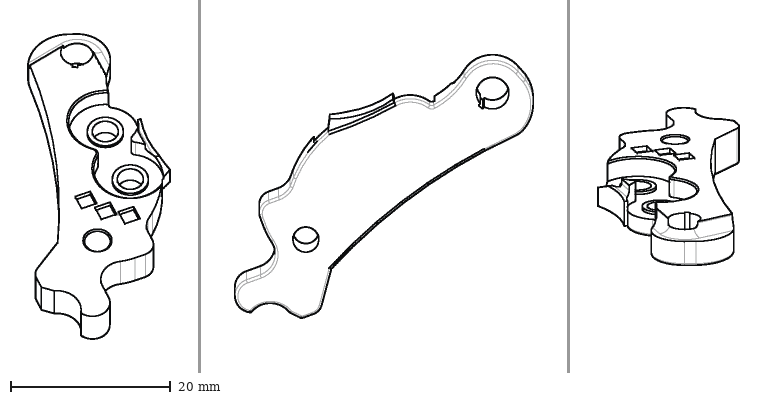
import cadquery as cq
import math

thickness = 4.85
bottom_round = 0.35
clearance = 0.45

toe_round = 1.67
cusp_round = 0.45

eye_x, eye_y = 4.6, 18.9
eye_radius = 4.2
eye_bore_radius = 2.03
key_width = 0.65
key_reach = 2.35
key_angle = -30.0

ledge_z = 3.25
cove_radius = 1.45
cove_wall_radius = 1.9
ledge_width = 6.15
ledge_run_upper = 6.6
ledge_run_lower = 8.8
ledge_tilt = 13.5

boss_centers = [(15.95, 17.85), (24.15, 17.7)]
floor_z = 2.3
lobe_radius = 4.2
pocket_radius = 4.6
pocket_cusp_round = 0.9
pocket_chamfer = 0.2
boss_diameter = 4.55
boss_height = 0.35
boss_bore_diameter = 3.25
boss_bore_floor = 0.35

island_left = 16.55
island_tip_round = 0.57
island_low_z = 3.6
island_step_y = 20.9
island_cove_radius = 0.57
ramp_x = 22.8
ramp_end_x = 25.63
ramp_end_z = 2.5

screw_x, screw_y = 33.02, 9.4
screw_diameter = 3.2
screw_rim_diameter = 3.6
square_side = 2.05
square_depth = 0.65
square_centers = [(26.55, 10.6), (29.1, 12.2), (30.9, 14.6)]


def on_circle(center, radius, degrees):
    """Point on a circle at an angle measured from +X."""
    angle = math.radians(degrees)
    return (center[0] + radius * math.cos(angle), center[1] + radius * math.sin(angle))


def cylinder(center, radius, z_low, z_high):
    return cq.Workplane("XY", origin=(*center, z_low)).circle(radius).extrude(z_high - z_low)


def box(x_low, x_high, y_low, y_high, z_low, z_high):
    size = (x_high - x_low, y_high - y_low, z_high - z_low)
    return cq.Workplane("XY", origin=(x_low, y_low, z_low)).box(*size, centered=False)


def plate():
    """Whole outline, with the underside edge rounded."""
    eye = (eye_x, eye_y)
    hollow = (40.0, 9.95)
    hollow_radius = 2.85
    left_boss = boss_centers[0]
    outline = (
        cq.Workplane("XY")
        .moveTo(0.18, 19.05)
        .lineTo(*on_circle(eye, eye_radius, 159))
        .threePointArc(on_circle(eye, eye_radius, 100), on_circle(eye, eye_radius, 51))
        .tangentArcPoint((12.37, 19.95), relative=False)
        .threePointArc(on_circle(left_boss, lobe_radius, 120), on_circle(left_boss, lobe_radius, 82))
        .threePointArc((20.7, 21.5), (25.6, 21.4))
        .threePointArc((28.9, 19.75), (31.7, 17.4))
        .lineTo(32.5, 16.45)
        .threePointArc((33.3, 15.95), (34.35, 15.7))
        .lineTo(35.65, 15.7)
        .tangentArcPoint((37.43, 13.95), relative=False)
        .lineTo(37.43, 12.55)
        .tangentArcPoint(on_circle(hollow, hollow_radius, 165), relative=False)
        .threePointArc(on_circle(hollow, hollow_radius, 220), on_circle(hollow, hollow_radius, 270))
        .lineTo(41.85, hollow[1] - hollow_radius)
        .tangentArcPoint((42.75, 2.9), relative=False)
        .threePointArc((40.3, 3.25), (38.2, 1.25))
        .lineTo(37.07, 0)
        .lineTo(34.6, 0)
        .lineTo(31.35, 4.65)
        .threePointArc((18.25, 10.0), (3.9, 12.7))
        .threePointArc((3.15, 12.835), (2.38, 13.2))
        .tangentArcPoint((0.18, 19.05), relative=False)
        .close()
        .extrude(thickness)
    )
    toe = cq.selectors.NearestToPointSelector((34.6, 0, thickness / 2))
    outline = outline.edges("|Z").edges(toe).fillet(toe_round)
    cusp = cq.selectors.NearestToPointSelector((12.37, 19.95, thickness / 2))
    outline = outline.edges("|Z").edges(cusp).fillet(cusp_round)
    return outline.faces("<Z").edges().fillet(bottom_round)


def island_lip():
    """Curved edge of the island that overhangs the back of the plate."""
    return (
        cq.Workplane("XY", origin=(0, 0, bottom_round))
        .moveTo(island_left, 21.8)
        .lineTo(island_left, 22.4)
        .threePointArc((19.8, 21.93), (24.85, 22.8))
        .lineTo(25.6, 21.4)
        .lineTo(20.7, 20.25)
        .close()
        .extrude(thickness - bottom_round)
    )


def twin_discs(radius, z_low, z_high):
    left, right = (cylinder(c, radius, z_low, z_high) for c in boss_centers)
    return left.union(right)


def island_block():
    """Wedge between the two lobes, rounded at its tip."""
    (left_x, left_y), (right_x, right_y) = boss_centers
    block = box(island_left, right_x + lobe_radius / 2, left_y, 24.2, floor_z, thickness + clearance)
    block = block.cut(twin_discs(lobe_radius, 0, thickness + 2 * clearance))
    block = block.solids(">Y")
    return block.edges("|Z").edges("<Y").fillet(island_tip_round)


def blended_discs(radius, cusp_radius, z_low, z_high):
    """Twin discs whose front cusp is rounded."""
    discs = twin_discs(radius, z_low, z_high)
    return discs.edges("|Z").edges("<Y").fillet(cusp_radius)


def pocket():
    """Twin pocket with a chamfered rim, leaving the island standing."""
    z_high = thickness + clearance
    walls = blended_discs(pocket_radius, pocket_cusp_round, floor_z, z_high)
    rim_radius = pocket_radius + pocket_chamfer
    rim = blended_discs(rim_radius, pocket_cusp_round - pocket_chamfer, thickness - pocket_chamfer, z_high)
    rim = rim.faces("<Z").edges().chamfer(pocket_chamfer)
    return walls.union(rim).cut(island_block())


def coved_step(wall, width, floor, radius, top):
    """Side profile of a step: upright wall, cove, then a flat floor out to the given width."""
    bend = radius * math.sqrt(0.5)
    return [
        (wall, top),
        (wall, floor + radius),
        (wall + radius - bend, floor + radius - bend),
        (wall + radius, floor),
        (wall + width, floor),
        (wall + width, top),
    ]


def step_sketch(plane, points):
    start, wall_foot, bend, cove_end, *rest = points
    sketch = cq.Workplane(plane).moveTo(*start).lineTo(*wall_foot).threePointArc(bend, cove_end)
    for point in rest:
        sketch = sketch.lineTo(*point)
    return sketch.close()


def ledge():
    """Coved step that comes in along +X, turns round the eye and runs out at the front."""
    z_high = thickness + clearance
    points = coved_step(cove_wall_radius, ledge_width, ledge_z, cove_radius, z_high)

    def profile(direction):
        angle = math.radians(direction)
        outward = (math.cos(angle), math.sin(angle), 0)
        normal = (math.sin(angle), -math.cos(angle), 0)
        return step_sketch(cq.Plane((eye_x, eye_y, 0), outward, normal), points)

    lower_direction = 180 + ledge_tilt
    turn = profile(90).revolve(lower_direction - 90, (0, 0, 0), (0, 1, 0))
    upper = profile(90).extrude(ledge_run_upper)
    lower = profile(lower_direction).extrude(-ledge_run_lower)
    return turn.union(upper).union(lower)


def island_step():
    """Coved step along the back of the island."""
    (left_x, _), (right_x, _) = boss_centers
    points = coved_step(island_step_y, ledge_width, island_low_z, island_cove_radius, thickness + clearance)
    plane = cq.Plane((left_x, 0, 0), (0, 1, 0), (1, 0, 0))
    return step_sketch(plane, points).extrude(right_x + lobe_radius - left_x)


def island_ramp():
    """Wedge above the ramp that falls towards +X at the right end of the island."""
    return (
        cq.Workplane("XZ", origin=(0, boss_centers[1][1], 0))
        .polyline([(ramp_x, island_low_z), (ramp_end_x, ramp_end_z), (ramp_end_x, island_low_z)])
        .close()
        .extrude(-ledge_width)
    )


def eye_bore():
    """Pivot bore with a small keyway."""
    bore = cylinder((eye_x, eye_y), eye_bore_radius, 0, thickness)
    key = box(0, key_reach, -key_width / 2, key_width / 2, 0, thickness)
    key = key.rotate((0, 0, 0), (0, 0, 1), key_angle).translate((eye_x, eye_y, 0))
    return bore.union(key)


def screw_hole():
    """Through hole with a small countersink on top."""
    rim_depth = (screw_rim_diameter - screw_diameter) / 2
    hole = cylinder((screw_x, screw_y), screw_diameter / 2, 0, thickness)
    rim = cylinder((screw_x, screw_y), screw_rim_diameter / 2, thickness - rim_depth, thickness + clearance)
    return hole.union(rim.faces("<Z").edges().chamfer(rim_depth))


result = plate().union(island_lip()).cut(pocket()).cut(island_step()).cut(island_ramp()).cut(ledge())

for center in boss_centers:
    result = result.union(cylinder(center, boss_diameter / 2, boss_bore_floor, floor_z + boss_height))
    result = result.cut(cylinder(center, boss_bore_diameter / 2, boss_bore_floor, thickness))

result = result.cut(eye_bore()).cut(screw_hole())

for x, y in square_centers:
    half = square_side / 2
    recess = box(x - half, x + half, y - half, y + half, thickness - square_depth, thickness)
    result = result.cut(recess)